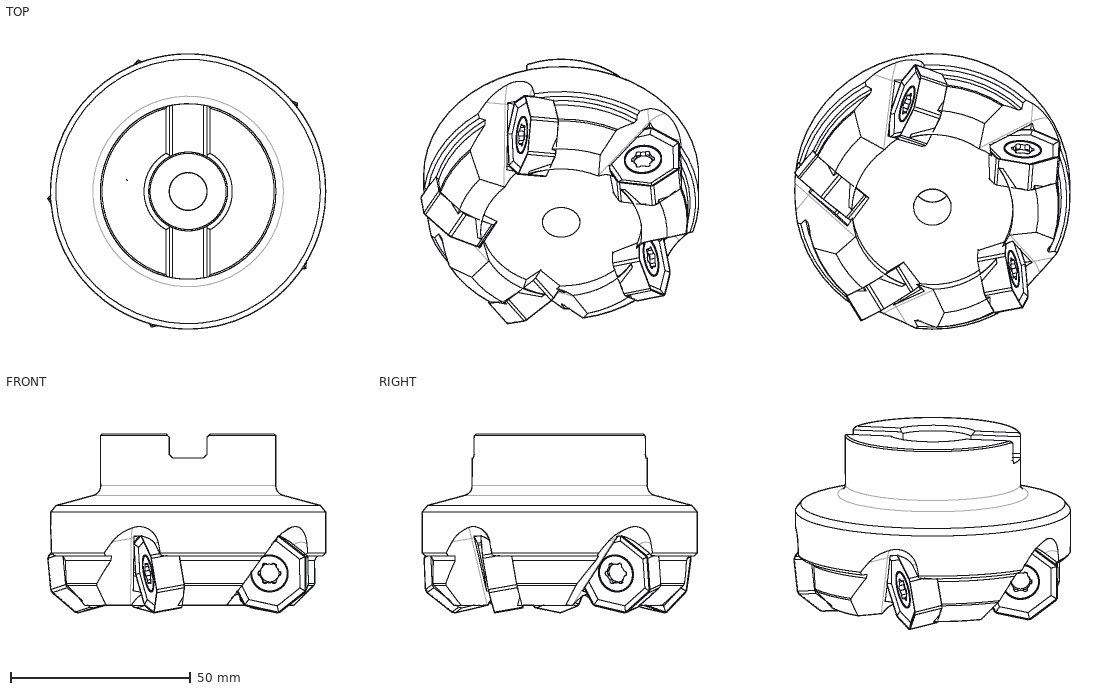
import cadquery as cq
import math


top_z = 49.95
hub_radius = 49.0 / 2
rim_radius = 76.9 / 2
lower_radius = 70.7 / 2

hub_edge_chamfer = 0.5
hub_foot_z = 35.6
foot_bend_width = 0.55
foot_bend_drop = 1.8
shoulder_inner_radius = 26.6
shoulder_inner_z = 32.8
shoulder_outer_radius = 36.9
shoulder_outer_z = 30.0
rim_top_z = 28.15
rim_bottom_z = 16.75
rim_bottom_chamfer = 0.9
neck_radius = 36.0
lower_top_z = 14.6
lower_bottom_z = 8.2
bevel_height = 0.55
bevel_width = 0.2
base_z = 2.1

bore_diameter = 22.0
bore_depth = 20.2
bore_mouth_chamfer = 1.3
bore_floor_chamfer = 0.4
through_diameter = 10.5
recess_diameter = 45.0
recess_depth = 4.65
slot_width = 10.5
slot_depth = 6.7
slot_top_chamfer = 0.9
slot_floor_chamfer = 0.9

insert_count = 5
insert_edges = 7
first_insert_angle = 30.6
insert_centre_radius = 30.2
insert_centre_z = 10.85
radial_rake = 52.8
axial_tilt = 10.0
insert_apothem = 10.3
insert_thickness = 8.1
insert_corner_cut = 0.55
rim_land = 0.3
dish_depth = 0.8
dish_taper = 63.0
seat_clearance = 1.95

screw_ring_outer = 10.5
screw_ring_inner = 10.0
screw_ring_depth = 0.2
socket_core_diameter = 5.3
socket_tip_diameter = 6.35
socket_lobe_diameter = 1.4
socket_lobes = 6
socket_depth = 1.55
socket_cone_depth = 1.25

gullet_radius = 17.1 / 2
gullet_centre_u = 8.85
gullet_centre_v = 5.4
gullet_wall_angle = 53.0
gullet_end_offset = 2.7
gullet_end_fillet = 5.4
gullet_reach = 46.5


def tilted_plane(offset):
    """Plane parallel to the rake face of the insert at azimuth 0, moved along its normal."""
    azimuth = math.radians(-radial_rake)
    tilt = math.radians(axial_tilt)
    normal = cq.Vector(
        math.cos(azimuth) * math.cos(tilt),
        math.sin(azimuth) * math.cos(tilt),
        -math.sin(tilt),
    )
    outward = cq.Vector(-math.sin(azimuth), math.cos(azimuth), 0)
    centre = cq.Vector(insert_centre_radius, 0, insert_centre_z)
    return cq.Plane(origin=centre + normal * offset, xDir=outward, normal=normal)


def heptagon(apothem):
    """Corner points of the insert outline, with one edge facing outward."""
    corner_radius = apothem / math.cos(math.pi / insert_edges)
    angles = [(2 * i + 1) * math.pi / insert_edges for i in range(insert_edges)]
    return [(corner_radius * math.cos(a), corner_radius * math.sin(a)) for a in angles]


def heptagon_prism(front_offset):
    """Insert blank from its back face to a front face at the given offset."""
    return (
        cq.Workplane(tilted_plane(-insert_thickness))
        .polyline(heptagon(insert_apothem)).close()
        .extrude(insert_thickness + front_offset)
        .edges(cq.selectors.ParallelDirSelector(tilted_plane(0).zDir))
        .chamfer(insert_corner_cut)
    )


def make_insert():
    """One insert with its dished rake face, screw ring and lobed socket."""
    dish = (
        cq.Workplane(tilted_plane(0))
        .polyline(heptagon(insert_apothem - rim_land)).close()
        .extrude(-dish_depth, taper=dish_taper)
    )
    floor = tilted_plane(-dish_depth)
    ring = (
        cq.Workplane(floor)
        .circle(screw_ring_outer / 2).circle(screw_ring_inner / 2)
        .extrude(-screw_ring_depth)
    )
    socket = cq.Workplane(floor).circle(socket_core_diameter / 2).extrude(-socket_depth)
    lobe_centre_radius = (socket_tip_diameter - socket_lobe_diameter) / 2
    lobes = (
        cq.Workplane(floor)
        .polarArray(lobe_centre_radius, 0, 360, socket_lobes)
        .circle(socket_lobe_diameter / 2)
        .extrude(-socket_depth)
    )
    socket_floor = tilted_plane(-dish_depth - socket_depth)
    cone = cq.Workplane(
        cq.Solid.makeCone(
            socket_core_diameter / 2, 0, socket_cone_depth,
            pnt=socket_floor.origin, dir=socket_floor.zDir * -1,
        )
    )
    return heptagon_prism(0).cut(dish).cut(ring).cut(socket).cut(lobes).cut(cone)


def make_gullet():
    """Chip space ahead of one insert: a round top running into a slanted wall."""
    slope = math.radians(gullet_wall_angle)
    tangent = (
        gullet_centre_u - gullet_radius * math.sin(slope),
        gullet_centre_v + gullet_radius * math.cos(slope),
    )
    wall_end = (
        tangent[0] - gullet_reach * math.cos(slope),
        tangent[1] - gullet_reach * math.sin(slope),
    )
    outer_u = gullet_centre_u + gullet_radius
    arc_middle = (
        gullet_centre_u + gullet_radius * math.cos(math.pi / 4),
        gullet_centre_v + gullet_radius * math.sin(math.pi / 4),
    )
    end_plane = tilted_plane(-gullet_end_offset)
    return (
        cq.Workplane(end_plane)
        .moveTo(*wall_end)
        .lineTo(*tangent)
        .threePointArc(arc_middle, (outer_u, gullet_centre_v))
        .lineTo(outer_u, wall_end[1])
        .close()
        .extrude(gullet_reach)
        .edges(cq.selectors.NearestToPointSelector(end_plane.toWorldCoords(arc_middle).toTuple()))
        .fillet(gullet_end_fillet)
    )


def make_housing_blank():
    """Turned outline of the housing, revolved about the cutter axis."""
    foot_bend = (hub_radius + foot_bend_width, hub_foot_z - foot_bend_drop)
    underside_z = rim_bottom_z - rim_bottom_chamfer
    cone_top_radius = lower_radius - bevel_width
    cone_top_z = lower_bottom_z - bevel_height
    base_radius = cone_top_radius - (cone_top_z - base_z)
    return (
        cq.Workplane("XZ")
        .moveTo(0, base_z)
        .lineTo(base_radius, base_z)
        .lineTo(cone_top_radius, cone_top_z)
        .lineTo(lower_radius, lower_bottom_z)
        .lineTo(lower_radius, lower_top_z)
        .lineTo(neck_radius, underside_z)
        .lineTo(rim_radius - rim_bottom_chamfer, underside_z)
        .lineTo(rim_radius, rim_bottom_z)
        .lineTo(rim_radius, rim_top_z)
        .lineTo(shoulder_outer_radius, shoulder_outer_z)
        .lineTo(shoulder_inner_radius, shoulder_inner_z)
        .threePointArc(foot_bend, (hub_radius, hub_foot_z))
        .lineTo(hub_radius, top_z - hub_edge_chamfer)
        .lineTo(hub_radius - hub_edge_chamfer, top_z)
        .lineTo(0, top_z)
        .close()
        .revolve(360, (0, 0, 0), (0, 1, 0))
    )


def make_bore():
    """Arbor bore with a chamfered mouth and floor, the screw hole and the end face recess."""
    radius = bore_diameter / 2
    floor_z = top_z - bore_depth
    return (
        cq.Workplane("XZ")
        .moveTo(0, base_z)
        .lineTo(recess_diameter / 2, base_z)
        .lineTo(recess_diameter / 2, base_z + recess_depth)
        .lineTo(through_diameter / 2, base_z + recess_depth)
        .lineTo(through_diameter / 2, floor_z)
        .lineTo(radius - bore_floor_chamfer, floor_z)
        .lineTo(radius, floor_z + bore_floor_chamfer)
        .lineTo(radius, top_z - bore_mouth_chamfer)
        .lineTo(radius + bore_mouth_chamfer, top_z)
        .lineTo(0, top_z)
        .close()
        .revolve(360, (0, 0, 0), (0, 1, 0))
    )


def make_drive_slot():
    """Drive slot across the hub along Y, with bevelled mouth and floor corners."""
    half = slot_width / 2
    floor_z = top_z - slot_depth
    return (
        cq.Workplane("XZ")
        .moveTo(-half + slot_floor_chamfer, floor_z)
        .lineTo(half - slot_floor_chamfer, floor_z)
        .lineTo(half, floor_z + slot_floor_chamfer)
        .lineTo(half, top_z - slot_top_chamfer)
        .lineTo(half + slot_top_chamfer, top_z)
        .lineTo(-half - slot_top_chamfer, top_z)
        .lineTo(-half, top_z - slot_top_chamfer)
        .lineTo(-half, floor_z + slot_floor_chamfer)
        .close()
        .extrude(rim_radius, both=True)
    )


insert_angles = [first_insert_angle + i * 360 / insert_count for i in range(insert_count)]
axis_start = (0, 0, 0)
axis_end = (0, 0, 1)

housing = make_housing_blank().cut(make_bore()).cut(make_drive_slot())
gullet = make_gullet()
seat = heptagon_prism(seat_clearance)
insert = make_insert()
inserts = []
for angle in insert_angles:
    housing = housing.cut(gullet.rotate(axis_start, axis_end, angle))
    housing = housing.cut(seat.rotate(axis_start, axis_end, angle))
    inserts.append(insert.rotate(axis_start, axis_end, angle))

result = cq.Compound.makeCompound([housing.val(), *[body.val() for body in inserts]])